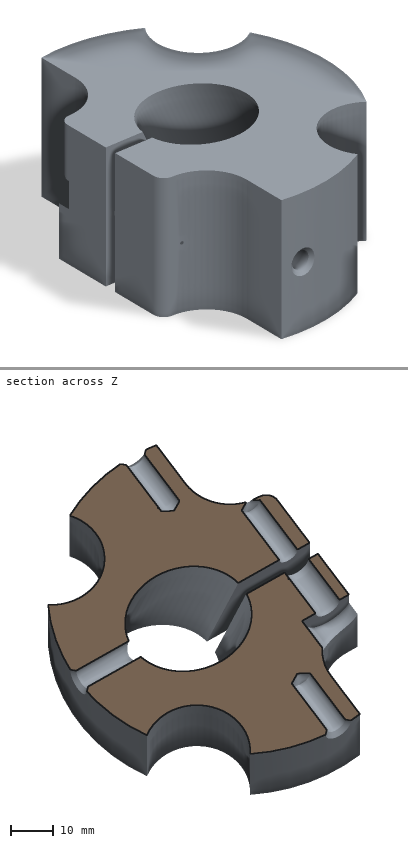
import cadquery as cq
import math

outer_radius = 44.8
height = 38.1
front_y = -22.2

scallop_radius = 12.6
scallop_offset = outer_radius * math.sin(math.radians(45))
neck_half_width = scallop_offset - scallop_radius
front_scallop_y = -neck_half_width
shoulder_y = front_scallop_y + scallop_radius
corner_radius = front_scallop_y - front_y

bore_diameter = 27.9
bore_tilt = 25.0
bore_mid_y = 13.4
slot_width = 3.5

screw_y = -16.1
head_diameter = 14.4
head_seat_x = -15.3
clearance_diameter = 6.7
thread_diameter = 5.1
thread_end_x = 18.1

countersink_diameter = 7.4
radial_hole_depth = 16.4
drill_point_angle = 118.0
drill_point_length = thread_diameter / 2 / math.tan(math.radians(drill_point_angle / 2))

mid_z = 0.0
overshoot = 8.95


def cylinder(diameter, length, start, direction):
    return cq.Workplane(cq.Solid.makeCylinder(diameter / 2, length, cq.Vector(*start), cq.Vector(*direction)))


def cone(start_diameter, end_diameter, length, start, direction):
    solid = cq.Solid.makeCone(
        start_diameter / 2, end_diameter / 2, length, cq.Vector(*start), cq.Vector(*direction)
    )
    return cq.Workplane(solid)


def centred_block(x_size, y_start, y_end, z_size):
    block = cq.Workplane("XY").box(x_size, y_end - y_start, z_size)
    return block.translate((0, (y_start + y_end) / 2, mid_z))


def make_body():
    disc = cq.Workplane("XY").circle(outer_radius).extrude(height / 2, both=True)
    body = disc.intersect(centred_block(2 * outer_radius, front_y, outer_radius, height))
    for side in (-1, 1):
        x = side * scallop_offset
        rim_scallop = cylinder(2 * scallop_radius, height, (x, scallop_offset, -height / 2), (0, 0, 1))
        front_scallop = cylinder(2 * scallop_radius, height, (x, front_scallop_y, -height / 2), (0, 0, 1))
        shoulder = (
            cq.Workplane("XY")
            .moveTo(x, shoulder_y)
            .lineTo(side * (outer_radius + overshoot), shoulder_y)
            .lineTo(side * (outer_radius + overshoot), front_y)
            .lineTo(side * neck_half_width, front_y)
            .lineTo(side * neck_half_width, front_scallop_y)
            .lineTo(x, front_scallop_y)
            .close()
            .extrude(height / 2, both=True)
        )
        body = body.cut(rim_scallop).cut(front_scallop).cut(shoulder)
    return body


def corner_waste(side, z_start):
    """Material outside a rounded front corner, from z_start to the top."""
    edge_x = side * neck_half_width
    centre_x = edge_x - side * corner_radius
    diagonal = corner_radius * math.sin(math.radians(45))
    return (
        cq.Workplane("XY", origin=(0, 0, z_start))
        .moveTo(edge_x, front_scallop_y)
        .threePointArc(
            (centre_x + side * diagonal, front_scallop_y - diagonal),
            (centre_x, front_y),
        )
        .lineTo(edge_x, front_y)
        .close()
        .extrude(height / 2 - z_start)
    )


def make_bore():
    length = 2 * height
    bore = cq.Workplane("XY").circle(bore_diameter / 2).extrude(length, both=True)
    return bore.rotate((0, 0, 0), (1, 0, 0), bore_tilt).translate((0, bore_mid_y, mid_z))


def make_clamp_screw():
    axis = (1, 0, 0)
    head_start_x = -outer_radius
    head = cylinder(head_diameter, head_seat_x - head_start_x, (head_start_x, screw_y, mid_z), axis)
    clearance = cylinder(clearance_diameter, -head_seat_x, (head_seat_x, screw_y, mid_z), axis)
    thread = cylinder(thread_diameter, thread_end_x, (0, screw_y, mid_z), axis)
    point = cone(thread_diameter, 0, drill_point_length, (thread_end_x, screw_y, mid_z), axis)
    return head.union(clearance).union(thread).union(point)


def make_radial_hole(direction, depth):
    """Countersunk hole drilled from the rim towards the centre."""
    start = tuple(-outer_radius * part for part in direction)
    end = tuple((depth - outer_radius) * part for part in direction)
    countersink_depth = (countersink_diameter - thread_diameter) / 2
    countersink = cone(countersink_diameter, thread_diameter, countersink_depth, start, direction)
    hole = cylinder(thread_diameter, depth, start, direction)
    point = cone(thread_diameter, 0, drill_point_length, end, direction)
    return countersink.union(hole).union(point)


result = make_body()

result = result.cut(corner_waste(1, -height / 2))
result = result.cut(corner_waste(-1, mid_z))

result = result.cut(make_bore())
result = result.cut(centred_block(slot_width, front_y, bore_mid_y, height))
result = result.cut(make_clamp_screw())

for inward in ((1, 0, 0), (-1, 0, 0), (0, -1, 0)):
    result = result.cut(make_radial_hole(inward, radial_hole_depth))